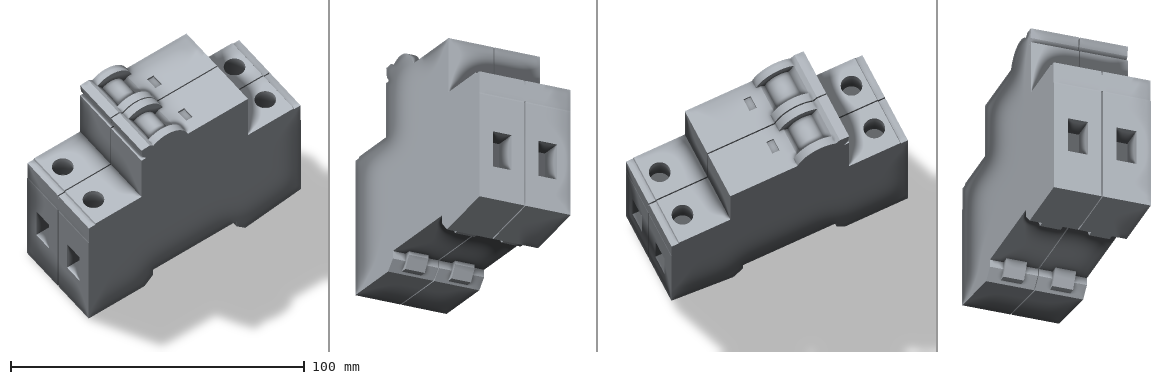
import cadquery as cq


width = 35.2
length = 89.8
half_length = length / 2
pole_count = 2
pole_pitch = width / pole_count
pole_gap = 0.45

shoulder_z = 50.3
tower_z = 70.2
tower_half_length = 22.5
strip_top_z = 49.75
strip_bottom_z = 42.0
strip_inner_y = 41.9
strip_inset = 0.1
edge_slope_rise = 0.5
edge_slope_run = 0.3
rail_top_z = 6.5
rail_half_length = 17.7
rail_chamfer_z = 3.7
front_foot_y = -21.2
front_foot_z = 0.2
back_foot_y = 21.4
back_end_z = 3.6

strip_groove_depth = 1.4

clip_inset = 4.9
clip_bottom_z = 0.9
clip_root_y = 20.65
clip_tip_y = 18.0
back_clip_top_y = 14.8
front_clip_top_y = -15.3
front_clip_lip_z = 5.2

total_height = 76.6
toggle_y = -11.85
disc_radius = 9.4
toggle_z = total_height - disc_radius
disc_width = 3.05
drum_radius = 5.8
recess_edge_y = -4.7
recess_depth = 1.6
recess_slope_run = 1.8
lever_back_foot = (-15.2, 71.8)
lever_valley = (-17.4, 74.7)
lever_crest = (-19.0, 76.0)
lever_nose = (-tower_half_length, 75.7)
lever_chin = (-22.1, 72.1)
lever_heel_y = -20.5

screw_hole_diameter = 7.4
screw_hole_y = 36.4
screw_hole_depth = 9.0
wire_width = 7.2
wire_height = 12.9
wire_center_z = 22.1
wire_depth = 9.0
window_length_x = 4.8
window_length_y = 2.7
window_offset_x = 1.5
window_depth = 0.8


def extrude_x(profile, x_min, x_max):
    """Extrude a closed YZ outline between two X positions."""
    return profile.extrude(x_max - x_min).translate((x_min, 0, 0))


def cylinder_x(radius, y, z, x_min, x_max):
    """Round bar along X."""
    return extrude_x(cq.Workplane("YZ").center(y, z).circle(radius), x_min, x_max)


def box_between(x_min, x_max, y_min, y_max, z_min, z_max):
    size = (x_max - x_min, y_max - y_min, z_max - z_min)
    return cq.Workplane("XY").box(*size, centered=False).translate((x_min, y_min, z_min))


def housing(x_min, x_max):
    """Housing of one pole, with a seat for the strip at each top end."""
    seat_top_y = strip_inner_y + edge_slope_run
    seat_top = [(strip_inner_y, shoulder_z), (seat_top_y, strip_top_z), (strip_inner_y, strip_top_z)]
    seat_bottom = [
        (strip_inner_y, strip_bottom_z),
        (half_length - strip_inset, strip_bottom_z),
        (half_length, strip_bottom_z - edge_slope_rise),
    ]
    back = [(tower_half_length, shoulder_z)] + seat_top + seat_bottom
    front = [(-y, z) for y, z in reversed(back)]
    base = [
        (half_length, back_end_z),
        (back_foot_y, 0),
        (rail_half_length, rail_chamfer_z),
        (rail_half_length, rail_top_z),
        (-rail_half_length, rail_top_z),
        (-rail_half_length, rail_chamfer_z),
        (front_foot_y, front_foot_z),
        (-half_length, front_foot_z),
    ]
    tower = [(-tower_half_length, tower_z), (tower_half_length, tower_z)]
    return extrude_x(cq.Workplane("YZ").polyline(tower + back + base + front).close(), x_min, x_max)


def clips(x_min, x_max):
    """Rail clips under one pole, set in from its side faces."""
    back = [
        (clip_root_y, rail_top_z),
        (back_clip_top_y, rail_top_z),
        (clip_tip_y, clip_bottom_z),
        (clip_root_y, clip_bottom_z),
    ]
    front = [
        (-clip_root_y, rail_top_z),
        (front_clip_top_y, rail_top_z),
        (front_clip_top_y, front_clip_lip_z),
        (-clip_tip_y, clip_bottom_z),
        (-clip_root_y, clip_bottom_z),
    ]
    x_limits = (x_min + clip_inset, x_max - clip_inset)
    back_clip = extrude_x(cq.Workplane("YZ").polyline(back).close(), *x_limits)
    front_clip = extrude_x(cq.Workplane("YZ").polyline(front).close(), *x_limits)
    return back_clip.union(front_clip)


def toggle_recess(x_min, x_max):
    """Sloped hollow behind the drum."""
    outline = [
        (recess_edge_y, tower_z),
        (recess_edge_y - recess_slope_run, tower_z - recess_depth),
        (toggle_y, tower_z - recess_depth),
        (toggle_y, tower_z),
    ]
    return extrude_x(cq.Workplane("YZ").polyline(outline).close(), x_min, x_max)


def toggle(x_min, x_max):
    """Discs, drum and lever bar of one pole."""
    lever_outline = [
        (toggle_y, tower_z),
        lever_back_foot,
        lever_valley,
        lever_crest,
        lever_nose,
        lever_chin,
        (lever_heel_y, tower_z),
    ]
    drum = cylinder_x(drum_radius, toggle_y, toggle_z, x_min, x_max)
    left_disc = cylinder_x(disc_radius, toggle_y, toggle_z, x_min, x_min + disc_width)
    right_disc = cylinder_x(disc_radius, toggle_y, toggle_z, x_max - disc_width, x_max)
    lever = extrude_x(cq.Workplane("YZ").polyline(lever_outline).close(), x_min, x_max)
    return drum.union(left_disc).union(right_disc).union(lever)


def openings(center_x):
    """Screw holes and wire openings at both ends, and the indicator window."""
    window = cq.Workplane("XY").box(window_length_x, window_length_y, window_depth)
    cutter = window.translate((center_x + window_offset_x, window_length_y / 2, tower_z - window_depth / 2))
    for end in (-1, 1):
        hole = cq.Workplane("XY").circle(screw_hole_diameter / 2).extrude(-screw_hole_depth)
        wire = cq.Workplane("XY").box(wire_width, wire_depth, wire_height)
        cutter = cutter.union(hole.translate((center_x, end * screw_hole_y, shoulder_z)))
        wire_y = end * (half_length - wire_depth / 2)
        cutter = cutter.union(wire.translate((center_x, wire_y, wire_center_z)))
    return cutter


def pole(index):
    """One complete pole; neighbouring poles are separated by the pole gap."""
    left = -width / 2 + index * pole_pitch
    right = left + pole_pitch
    x_min = left if index == 0 else left + pole_gap / 2
    x_max = right if index == pole_count - 1 else right - pole_gap / 2
    body = housing(x_min, x_max).cut(toggle_recess(x_min + disc_width, x_max - disc_width))
    body = body.union(clips(x_min, x_max)).union(toggle(x_min, x_max))
    return body.cut(openings((left + right) / 2))


def end_strip(end):
    """Strip across both poles that joins them, grooved at the top over the pole gap."""
    y_limits = sorted((end * strip_inner_y, end * (half_length - strip_inset)))
    strip = box_between(-width / 2, width / 2, *y_limits, strip_bottom_z, strip_top_z)
    groove_bottom_z = strip_top_z - strip_groove_depth
    return strip.cut(box_between(-pole_gap / 2, pole_gap / 2, *y_limits, groove_bottom_z, strip_top_z))


result = pole(0)
for pole_index in range(1, pole_count):
    result = result.union(pole(pole_index))
for end in (-1, 1):
    result = result.union(end_strip(end))